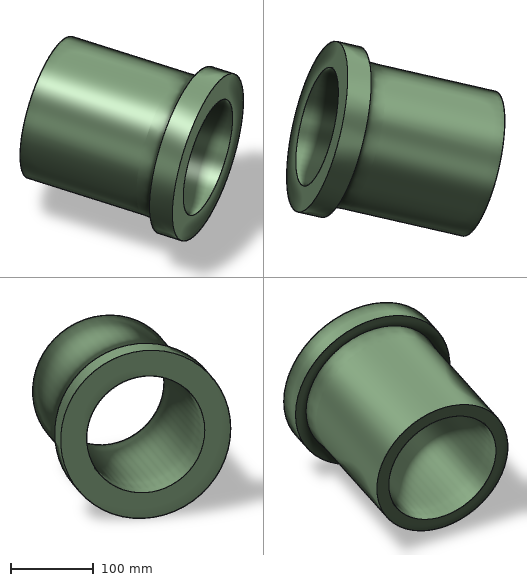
import cadquery as cq

total_length = 209.0
collar_diameter = 212.0
collar_thickness = 30.3
pipe_diameter = 180.0
neck_length = 24.2
neck_end_diameter = 183.0
bore_diameter = 147.1

pipe_end_x = -total_length / 2
collar_end_x = total_length / 2
collar_face_x = collar_end_x - collar_thickness
neck_start_x = collar_face_x - neck_length

half_section = (
    cq.Workplane("XY")
    .moveTo(pipe_end_x, bore_diameter / 2)
    .lineTo(pipe_end_x, pipe_diameter / 2)
    .lineTo(neck_start_x, pipe_diameter / 2)
    .lineTo(collar_face_x, neck_end_diameter / 2)
    .lineTo(collar_face_x, collar_diameter / 2)
    .lineTo(collar_end_x, collar_diameter / 2)
    .lineTo(collar_end_x, bore_diameter / 2)
    .close()
)

result = half_section.revolve(360, (0, 0, 0), (1, 0, 0))